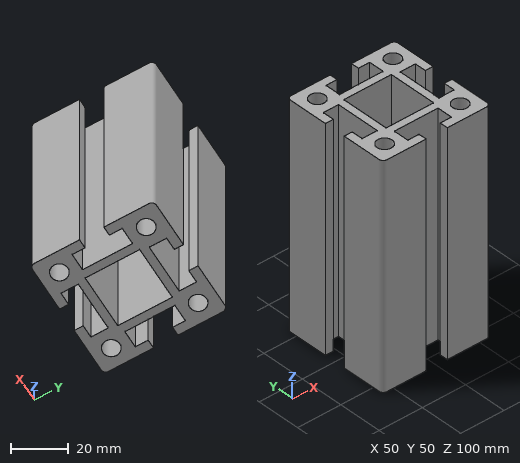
import cadquery as cq

side = 50.0
length = 100.0
corner_radius = 2.0

slot_opening = 9.8
lip_thickness = 3.7
slot_width = 20.2
slot_depth = 10.7

core_side = 22.0
bore_diameter = 6.8
bore_spacing = 35.0


def slot_cutter():
    """T-slot along the full length, open on the -Y side."""
    outer_y = -side / 2
    mouth = cq.Workplane("XY").rect(slot_opening, 2 * slot_depth).extrude(length)
    chamber_depth = slot_depth - lip_thickness
    chamber = (
        cq.Workplane("XY")
        .center(0, lip_thickness + chamber_depth / 2)
        .rect(slot_width, chamber_depth)
        .extrude(length)
    )
    return mouth.union(chamber).translate((0, outer_y, 0))


result = cq.Workplane("XY").rect(side, side).extrude(length).edges("|Z").fillet(corner_radius)

result = result.cut(cq.Workplane("XY").rect(core_side, core_side).extrude(length))

bores = (
    cq.Workplane("XY")
    .rect(bore_spacing, bore_spacing, forConstruction=True)
    .vertices()
    .circle(bore_diameter / 2)
    .extrude(length)
)
result = result.cut(bores)

for angle in (0, 90, 180, 270):
    result = result.cut(slot_cutter().rotate((0, 0, 0), (0, 0, 1), angle))